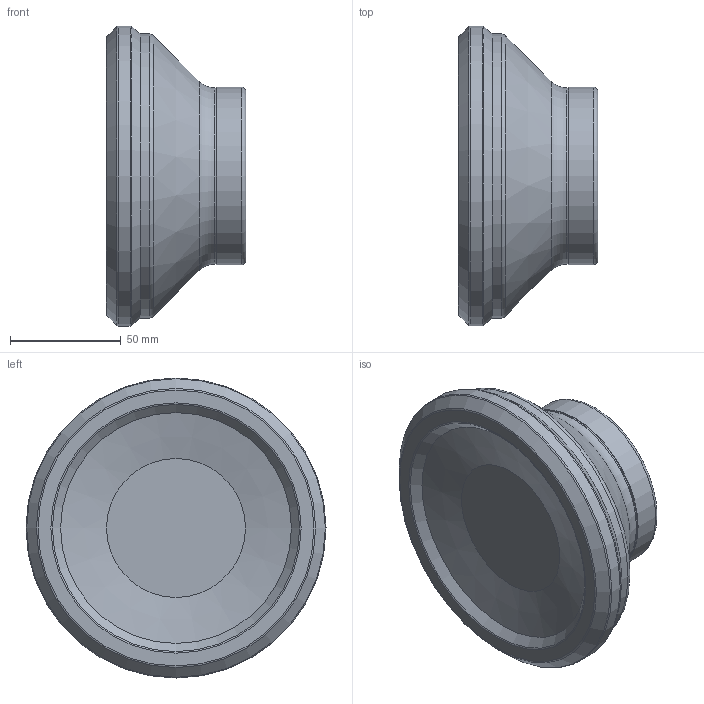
import cadquery as cq
import math


ring_radius = 135.21 / 2
ring_lip_radius = 52.0
ring_crest_end = 11.25
ring_length = 15.4
rim_inner_radius = 56.0
front_chamfer = 5.0
ring_edge_round = 1.0
rear_crest_round = 1.3

shoulder_radius = 128.0 / 2
shoulder_length = 5.2
shoulder_round = 3.0
neck_radius = 79.6 / 2
neck_fillet = 10.0
collar_radius = 80.0 / 2
collar_start = 49.8
collar_step_chamfer = 0.2
collar_end_round = 2.0
overall_length = 62.99

dish_floor_radius = 31.3
dish_floor_depth = 8.5

dish_edge_depth = rim_inner_radius - ring_lip_radius
shoulder_end = ring_length + shoulder_length
neck_start = shoulder_end + shoulder_radius - neck_radius


def corner_round(before, corner, after, radius):
    """Start, middle and end of an arc that rounds the corner of two straight lines."""
    toward_before = (cq.Vector(*before) - cq.Vector(*corner)).normalized()
    toward_after = (cq.Vector(*after) - cq.Vector(*corner)).normalized()
    half_angle = toward_before.getAngle(toward_after) / 2
    setback = radius / math.tan(half_angle)
    middle_distance = radius / math.sin(half_angle) - radius
    bisector = (toward_before + toward_after).normalized()
    start = cq.Vector(*corner) + toward_before * setback
    middle = cq.Vector(*corner) + bisector * middle_distance
    end = cq.Vector(*corner) + toward_after * setback
    return [(point.x, point.y) for point in (start, middle, end)]


def turned(outline):
    """Turn a closed outline of (x, radius, edge round) corners about the X axis."""
    corners = [(x, radius) for x, radius, _ in outline]
    profile = cq.Workplane("XY").moveTo(*corners[0])
    for index in range(1, len(outline)):
        corner = corners[index]
        edge_round = outline[index][2]
        if edge_round:
            following = corners[(index + 1) % len(corners)]
            start, middle, end = corner_round(corners[index - 1], corner, following, edge_round)
            profile = profile.lineTo(*start).threePointArc(middle, end)
        else:
            profile = profile.lineTo(*corner)
    return profile.close().revolve(360, (0, 0, 0), (1, 0, 0))


def make_ring():
    """Bumper ring: it wraps the shoulder cylinder and laps over the front rim of the housing."""
    return turned([
        (dish_edge_depth, ring_lip_radius, 0),
        (0, rim_inner_radius, ring_edge_round),
        (0, ring_radius - front_chamfer, ring_edge_round),
        (front_chamfer, ring_radius, ring_edge_round),
        (ring_crest_end, ring_radius, rear_crest_round),
        (ring_length, shoulder_radius, 0),
        (dish_edge_depth, shoulder_radius, 0),
    ])


def make_housing():
    """Solid funnel with a shallow conical dish in front and a collar at the back."""
    return turned([
        (dish_floor_depth, 0, 0),
        (dish_floor_depth, dish_floor_radius, 0),
        (dish_edge_depth, ring_lip_radius, 0),
        (dish_edge_depth, shoulder_radius, 0),
        (shoulder_end, shoulder_radius, shoulder_round),
        (neck_start, neck_radius, neck_fillet),
        (collar_start - collar_step_chamfer, neck_radius, 0),
        (collar_start, collar_radius, 0),
        (overall_length, collar_radius, collar_end_round),
        (overall_length, 0, 0),
    ])


ring = make_ring()
housing = make_housing()

result = cq.Compound.makeCompound([ring.val(), housing.val()])